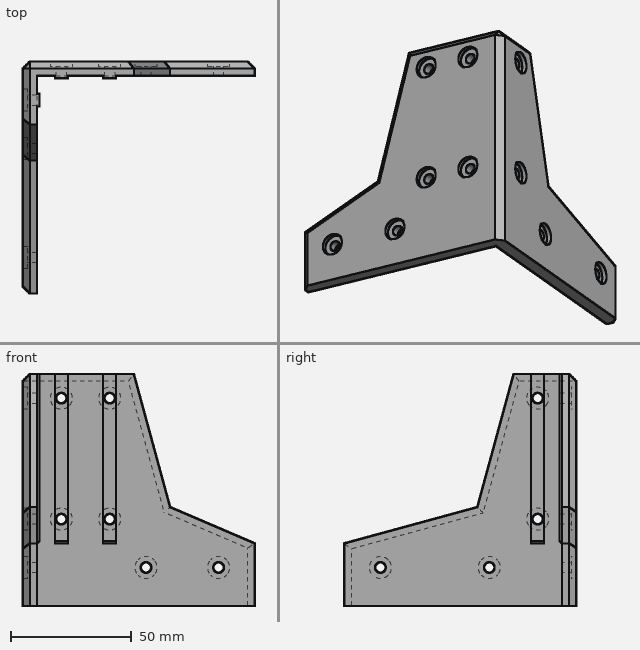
import cadquery as cq

SIZE = 96.0
THICKNESS = 6.0
CHAMFER = 3.0

FOOT_HEIGHT = 26.0
NOTCH_HEIGHT = 41.0
MAST_TAPER = 15.0
BACK_MAST_WIDTH = 46.0
SIDE_MAST_WIDTH = 26.0

HOLE_DIAMETER = 4.25
COUNTERBORE_DIAMETER = 9.1
COUNTERBORE_DEPTH = 2.0

FIRST_RAIL = 16.0
RAIL_PITCH = 20.0
SECOND_RAIL = FIRST_RAIL + RAIL_PITCH
RAIL_WIDTH = 5.4
RAIL_HEIGHT = 1.0

FOOT_HOLE_HEIGHT = 16.0
LOW_HOLE_HEIGHT = 36.0
HIGH_HOLE_HEIGHT = 86.0
OUTER_FOOT_HOLE = 81.0
BACK_INNER_FOOT_HOLE = 51.0
SIDE_INNER_FOOT_HOLE = 36.0

BACK_RAILS = [FIRST_RAIL, SECOND_RAIL]
SIDE_RAILS = [FIRST_RAIL]

BACK_PLANE = cq.Plane(origin=(0, 0, 0), xDir=(1, 0, 0), normal=(0, -1, 0))
SIDE_PLANE = cq.Plane(origin=(0, 0, 0), xDir=(0, 1, 0), normal=(1, 0, 0))


def plate(plane, direction, mast_width):
    """Stepped plate; direction is the sign of the local x axis away from the corner."""
    outline = [
        (0, 0),
        (direction * SIZE, 0),
        (direction * SIZE, FOOT_HEIGHT),
        (direction * (mast_width + MAST_TAPER), NOTCH_HEIGHT),
        (direction * mast_width, SIZE),
        (0, SIZE),
    ]
    return cq.Workplane(plane).polyline(outline).close().extrude(THICKNESS)


def chamfer_outer_faces(body):
    """Chamfer every edge of the two outer faces except the bottom ones."""
    outer_edges = body.faces("<X or >Y").edges("not <Z")
    return outer_edges.chamfer(CHAMFER)


def rail(plane, center):
    """Raised strip on the inner face, running to the top, with a 45 degree lower end."""
    section_plane = cq.Plane(
        origin=plane.toWorldCoords((center - RAIL_WIDTH / 2, 0, 0)).toTuple(),
        xDir=plane.zDir,
        normal=plane.xDir.multiply(-1),
    )
    inner = THICKNESS
    crest = THICKNESS + RAIL_HEIGHT
    profile = [
        (inner, FOOT_HEIGHT),
        (crest, FOOT_HEIGHT + RAIL_HEIGHT),
        (crest, SIZE),
        (inner, SIZE),
    ]
    return cq.Workplane(section_plane).polyline(profile).close().extrude(-RAIL_WIDTH)


def counterbored_hole(plane, center, height):
    """Through hole with a counterbore in the outer face."""
    face = cq.Workplane(plane).center(center, height)
    through = face.circle(HOLE_DIAMETER / 2).extrude(THICKNESS + RAIL_HEIGHT)
    counterbore = face.circle(COUNTERBORE_DIAMETER / 2).extrude(COUNTERBORE_DEPTH)
    return through.union(counterbore)


def finish_plate(body, plane, direction, rails, inner_foot_hole):
    """Add the rails and the holes of one plate."""
    for center in rails:
        body = body.union(rail(plane, direction * center))
    positions = [(inner_foot_hole, FOOT_HOLE_HEIGHT), (OUTER_FOOT_HOLE, FOOT_HOLE_HEIGHT)]
    for center in rails:
        positions.append((center, LOW_HOLE_HEIGHT))
        positions.append((center, HIGH_HOLE_HEIGHT))
    for center, height in positions:
        body = body.cut(counterbored_hole(plane, direction * center, height))
    return body


bracket = plate(BACK_PLANE, 1, BACK_MAST_WIDTH).union(plate(SIDE_PLANE, -1, SIDE_MAST_WIDTH))
bracket = chamfer_outer_faces(bracket)
bracket = finish_plate(bracket, BACK_PLANE, 1, BACK_RAILS, BACK_INNER_FOOT_HOLE)
result = finish_plate(bracket, SIDE_PLANE, -1, SIDE_RAILS, SIDE_INNER_FOOT_HOLE)